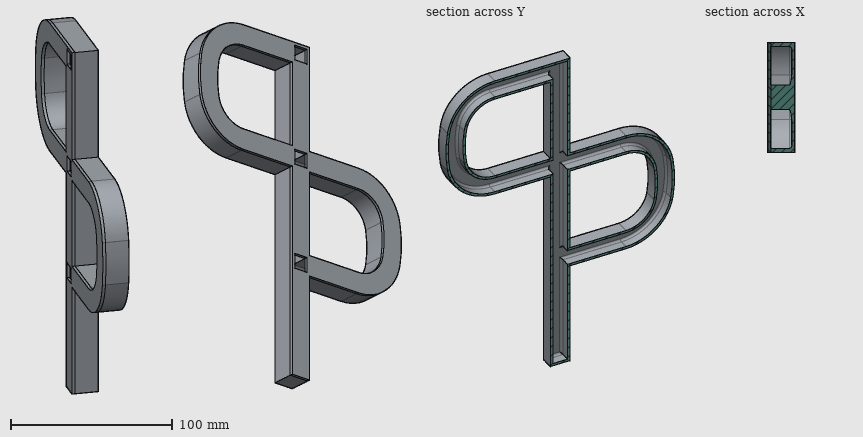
import cadquery as cq
import math

total_height = 227.0
total_width = 162.11
limb_width = 14.0
tray_depth = 15.0
lid_thickness = 2.0

arm_pitch = 71.0
straight_end = 46.35
corner_radius = 34.0

wall = 2.0
floor_thickness = 2.0
floor_fillet = 1.5
channel_width = limb_width - 2 * wall
window_size = channel_width

loop_reach = total_width / 2
loop_half_height = (arm_pitch + limb_width) / 2
top_arm_z = total_height - limb_width / 2
arm_heights = [top_arm_z - i * arm_pitch for i in range(3)]
loops = [(-1, top_arm_z - arm_pitch / 2), (1, top_arm_z - 3 * arm_pitch / 2)]

corner_centre_z = loop_half_height - corner_radius
bend_length = loop_reach - straight_end
end_radius = (bend_length**2 + corner_centre_z**2 - corner_radius**2) / (2 * (bend_length - corner_radius))
blend_angle = math.asin(corner_centre_z / (end_radius - corner_radius))


def d_shape(side, centre_z, inset, y_front, depth):
    """Solid D reaching from the spine axis to one side, shrunk inwards by inset."""
    half_height = loop_half_height - inset
    radius = corner_radius - inset
    middle_angle = (math.pi / 2 + blend_angle) / 2

    def on_corner(angle):
        return straight_end + radius * math.cos(angle), corner_centre_z + radius * math.sin(angle)

    def place(x, z):
        return side * x, centre_z + z

    corner_middle = on_corner(middle_angle)
    corner_end = on_corner(blend_angle)
    return (
        cq.Workplane("XZ", origin=(0, y_front, 0))
        .moveTo(*place(0, half_height))
        .lineTo(*place(straight_end, half_height))
        .threePointArc(place(*corner_middle), place(*corner_end))
        .threePointArc(place(loop_reach - inset, 0), place(corner_end[0], -corner_end[1]))
        .threePointArc(place(corner_middle[0], -corner_middle[1]), place(straight_end, -half_height))
        .lineTo(*place(0, -half_height))
        .close()
        .extrude(-depth)
    )


def frame(inset, y_front, depth):
    """Spine with its two loops, every outer edge moved inwards by inset."""
    spine = cq.Workplane("XY").box(
        limb_width - 2 * inset, depth, total_height - 2 * inset, centered=(True, False, False)
    ).translate((0, y_front, inset))
    shape = spine
    for side, centre_z in loops:
        band = d_shape(side, centre_z, inset, y_front, depth)
        opening = d_shape(side, centre_z, limb_width - inset, y_front, depth)
        shape = shape.union(band.cut(opening))
    return shape


channel = frame(wall, 0, tray_depth - floor_thickness).faces(">Y").edges().fillet(floor_fillet)
tray = frame(0, 0, tray_depth).cut(channel)

lid = frame(0, -lid_thickness, lid_thickness)
for z in arm_heights:
    window = cq.Workplane("XY").box(window_size, lid_thickness, window_size)
    lid = lid.cut(window.translate((0, -lid_thickness / 2, z)))

result = cq.Compound.makeCompound([tray.val(), lid.val()])